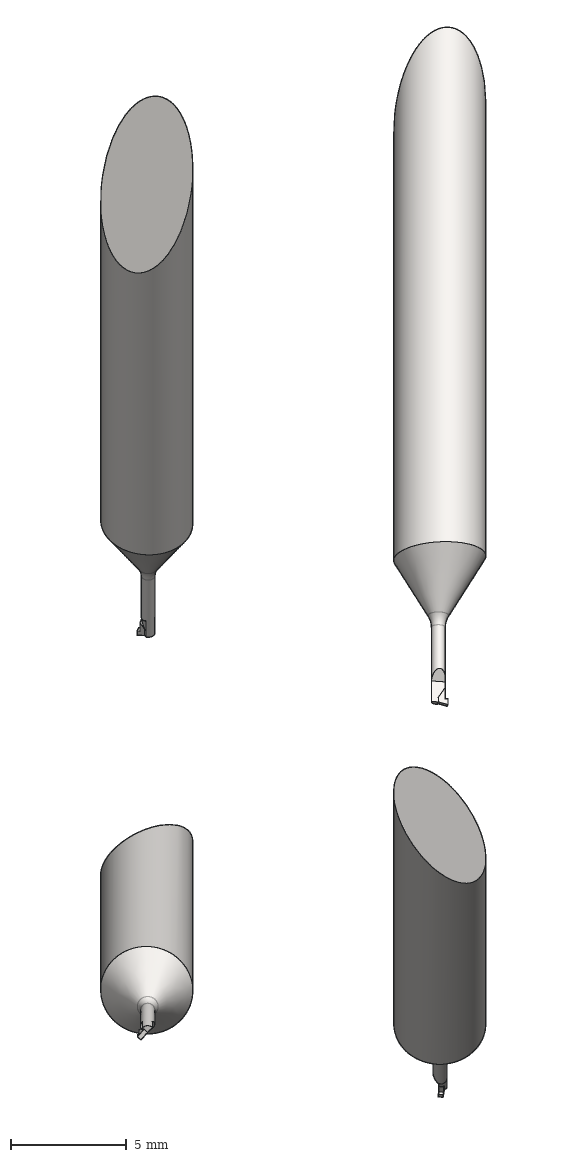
import cadquery as cq
import math

length = 30.7
shank_radius = 2.0
top_cut_angle = 60.0

neck_offset = 0.05
neck_radius = 0.3
neck_top = 3.55
fillet_radius = 1.07
cone_half_angle = 30.0

stem_bottom = 0.1
rake_ramp_bottom = 1.05
rake_ramp_top = 1.55
flank_top = rake_ramp_bottom

tip_reach = 0.37
tip_thickness = 0.2
tooth_height = 0.28
tip_height = 0.8
tip_inner_height = 0.3

neck_left = neck_offset - neck_radius
margin = 0.3


def make_turned_envelope():
    """Neck, fillet and cone around the offset axis, open to the full length above."""
    angle = math.radians(cone_half_angle)
    cone_start_radius = neck_radius + fillet_radius * (1 - math.cos(angle))
    cone_start = neck_top + fillet_radius * math.sin(angle)
    outer_radius = shank_radius + margin
    cone_end = cone_start + (outer_radius - cone_start_radius) / math.tan(angle)
    mid_radius = neck_radius + fillet_radius * (1 - math.cos(angle / 2))
    mid_height = neck_top + fillet_radius * math.sin(angle / 2)
    return (
        cq.Workplane("XZ")
        .moveTo(0, stem_bottom)
        .lineTo(neck_radius, stem_bottom)
        .lineTo(neck_radius, neck_top)
        .threePointArc((mid_radius, mid_height), (cone_start_radius, cone_start))
        .lineTo(outer_radius, cone_end)
        .lineTo(outer_radius, length)
        .lineTo(0, length)
        .close()
        .revolve(360, (0, 0), (0, 1))
        .translate((neck_offset, 0, 0))
    )


def make_shank_bar():
    """Cylinder whose sloping top falls from +Y to -Y."""
    top_drop = 2 * shank_radius * math.tan(math.radians(top_cut_angle))
    side_profile = (
        cq.Workplane("YZ")
        .polyline([
            (-shank_radius, 0),
            (shank_radius, 0),
            (shank_radius, length),
            (-shank_radius, length - top_drop),
        ])
        .close()
        .extrude(shank_radius, both=True)
    )
    return cq.Workplane("XY").circle(shank_radius).extrude(length).intersect(side_profile)


def make_rake_cut():
    """Removes the +Y half of the neck end, with a ramp running out above."""
    return (
        cq.Workplane("YZ")
        .polyline([
            (0, 0),
            (0, rake_ramp_bottom),
            (neck_radius, rake_ramp_top),
            (neck_radius + margin, rake_ramp_top),
            (neck_radius + margin, 0),
        ])
        .close()
        .extrude(neck_radius + margin, both=True)
    )


def make_flank_cut():
    """Flat across the -X, -Y quarter of the neck end."""
    return (
        cq.Workplane("XY")
        .polyline([
            (neck_left, 0),
            (neck_offset, -neck_radius),
            (neck_left, -neck_radius),
        ])
        .close()
        .extrude(flank_top)
    )


def make_tip():
    """Flat cutting tip with a tooth that stands out on the -X side."""
    return (
        cq.Workplane("XZ")
        .polyline([
            (-tip_reach, 0),
            (-tip_reach, tooth_height),
            (neck_left, tooth_height),
            (neck_left, tip_height),
            (neck_offset, tip_inner_height),
            (neck_offset, stem_bottom),
        ])
        .close()
        .extrude(tip_thickness)
    )


tip = make_tip()
holder = make_shank_bar().intersect(make_turned_envelope())
holder = holder.cut(make_rake_cut()).cut(make_flank_cut()).cut(tip)

result = cq.Compound.makeCompound([holder.val(), tip.val()])